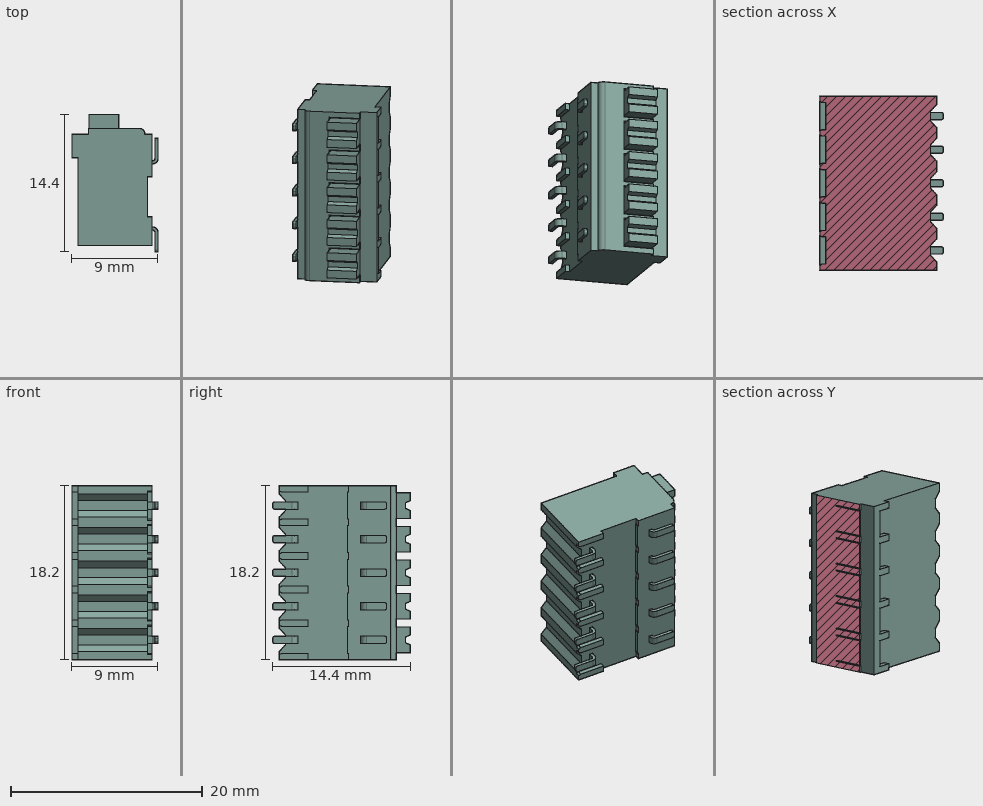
import cadquery as cq

pole_count = 5
height = 18.2
first_pole_z = 2.1
pole_pitch = (height - 2 * first_pole_z) / (pole_count - 1)
pole_heights = [first_pole_z + i * pole_pitch for i in range(pole_count)]
divider_heights = [first_pole_z + (i - 0.5) * pole_pitch for i in range(pole_count + 1)]

flange_depth = 0.64
housing_right = 8.39
housing_top = 11.61
divider_width = 0.7
pocket_width = pole_pitch - divider_width

flange_bottom = 9.14
window_top = 10.6

deck_left = 1.73
deck_right = 7.63
deck_top = 12.23
deck_radius = 0.58
pocket_right = 4.95

bevel_y = 0.25
bevel_z = 0.13

relief_x = 7.92
leg_length = 3.0
block_bottom = 7.13
divider_end = 7.2

groove_depth = 0.64
groove_floor = 1.04
groove_mouth = 2.4

button_left = 1.78
button_right = 4.9
button_width = 2.7
button_top = 13.69
slot_depth = 0.51
slot_floor = 0.56
slot_mouth = 1.04

pin_right = 9.0
pin_thickness = 0.35
pin_width = 0.76
bend_radius = 0.6
pin_tip_radius = 0.22
lower_pin_tip = -0.7
lower_bend_y = 1.95
upper_pin_tip = 11.21
upper_bend_y = 8.5


def box(x_range, y_range, z_range):
    """Box between the given limits along each axis."""
    low_corner = (x_range[0], y_range[0], z_range[0])
    size = [high - low for low, high in (x_range, y_range, z_range)]
    return cq.Workplane("XY").box(*size, centered=False).translate(low_corner)


def span(center, width):
    """Limits of a width centred on a value."""
    return center - width / 2, center + width / 2


def prism_along_x(points, x_range):
    """Outline of (y, z) points extruded along X."""
    outline = cq.Workplane("YZ", origin=(x_range[0], 0, 0)).polyline(points).close()
    return outline.extrude(x_range[1] - x_range[0])


def tapered_cut(y_mouth, y_floor, mouth, floor, z, x_range):
    """Symmetric trapezoid along X, `mouth` wide at y_mouth and `floor` wide at y_floor."""
    points = [
        (y_mouth, z - mouth / 2),
        (y_floor, z - floor / 2),
        (y_floor, z + floor / 2),
        (y_mouth, z + mouth / 2),
    ]
    return prism_along_x(points, x_range)


def beveled_gap(y_open, y_floor, z, x_range):
    """Gap between two dividers, widened at its open side by the bevels of the dividers."""
    inward = 1 if y_floor > y_open else -1
    gap = box(x_range, sorted((y_open, y_floor)), span(z, pocket_width))
    mouth = pocket_width + 2 * bevel_z
    bevels = tapered_cut(y_open, y_open + inward * bevel_y, mouth, pocket_width, z, x_range)
    return gap.union(bevels)


def make_housing():
    full_height = (0, height)
    body = box((flange_depth, housing_right), (0, housing_top), full_height)
    flange = box((0, flange_depth), (flange_bottom, housing_top), full_height)
    deck = box((deck_left, deck_right), (0, deck_top), full_height)
    deck = deck.edges("|Z and >X and >Y").fillet(deck_radius)
    housing = body.union(flange).union(deck)
    relief = box((relief_x, housing_right), (leg_length, block_bottom), full_height)
    housing = housing.cut(relief)
    for z in divider_heights:
        notch = box((relief_x, housing_right), (block_bottom, divider_end), span(z, divider_width))
        housing = housing.cut(notch)
    for z in pole_heights:
        window = box((0, flange_depth), (flange_bottom, window_top), span(z, pocket_width))
        groove = tapered_cut(0, groove_depth, groove_mouth, groove_floor, z, (flange_depth, relief_x))
        leg_gap = beveled_gap(0, leg_length, z, (relief_x, housing_right))
        button_pocket = beveled_gap(deck_top, housing_top, z, (deck_left, pocket_right))
        housing = housing.cut(window).cut(groove).cut(leg_gap).cut(button_pocket)
    return housing


def make_button(z):
    x_range = (button_left, button_right)
    button = box(x_range, (housing_top, button_top), span(z, button_width))
    slot = tapered_cut(button_top, button_top - slot_depth, slot_mouth, slot_floor, z, x_range)
    return button.cut(slot)


def make_pin(z, bend_y, tip_y):
    """L-shaped pin leaving the relief wall along X and turning along Y to its tip."""
    direction = 1 if tip_y > bend_y else -1
    inner_y = bend_y + direction * pin_thickness
    inner_x = pin_right - pin_thickness
    base = cq.Workplane("XY", origin=(0, 0, z - pin_width / 2))
    pin = (
        base.moveTo(relief_x, bend_y)
        .lineTo(pin_right, bend_y)
        .lineTo(pin_right, tip_y)
        .lineTo(inner_x, tip_y)
        .lineTo(inner_x, inner_y)
        .lineTo(relief_x, inner_y)
        .close()
        .extrude(pin_width)
    )
    pin = pin.edges(cq.NearestToPointSelector((pin_right, bend_y, z))).fillet(bend_radius)
    inner_bend = cq.NearestToPointSelector((inner_x, inner_y, z))
    pin = pin.edges(inner_bend).fillet(bend_radius - pin_thickness)
    tip_side = ">Y" if direction > 0 else "<Y"
    return pin.faces(tip_side).edges("|X").fillet(pin_tip_radius)


result = make_housing()
for pole_z in pole_heights:
    result = result.union(make_button(pole_z))
    result = result.union(make_pin(pole_z, lower_bend_y, lower_pin_tip))
    result = result.union(make_pin(pole_z, upper_bend_y, upper_pin_tip))